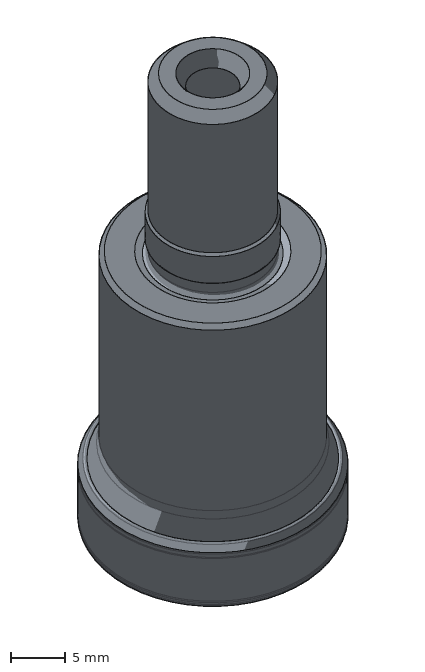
import cadquery as cq
import math

total_height = 55.0
barrel_top = 33.05
barrel_bottom = 10.35
flank_top = 9.5
flank_bottom = 7.5
collar_top = 38.15
collar_bottom = 34.4

stud_radius = 12.0 / 2
collar_radius = 12.5 / 2
barrel_radius = 21.0 / 2
flank_top_radius = 10.7
head_radius = 11.6

stud_chamfer = 1.0
collar_chamfer = collar_radius - stud_radius
barrel_chamfer_width = 0.5
barrel_chamfer_height = 0.45

undercut_fillet = 0.5
undercut_depth = 0.3
undercut_radius = 7.2

hole_radius = 5.0 / 2
hole_mouth_radius = 3.4
hole_mouth_half_angle = 30
hole_depth = 5.5
drill_point_half_angle = 59

ring_height = 7.6
ring_radius = 24.95 / 2
ring_wall_radius = ring_radius - 0.03
ring_lip_radius = 23.6 / 2
ring_cone_radius = 12.0
ring_cone_top = flank_bottom
ring_shoulder = 6.9
bead_edge = 0.15
upper_bead_bottom = 6.15
lower_bead_top = 0.9
base_round = 0.5


def revolve(profile):
    """Turn a half profile, drawn as radius and height, about the Z axis."""
    return profile.close().revolve(360, (0, 0, 0), (0, 1, 0))


def centre_hole():
    """Conical mouth, straight hole and drill point, as one cutting body."""
    mouth_depth = (hole_mouth_radius - hole_radius) / math.tan(math.radians(hole_mouth_half_angle))
    point_depth = hole_radius / math.tan(math.radians(drill_point_half_angle))
    profile = (
        cq.Workplane("XZ")
        .moveTo(0, total_height)
        .lineTo(hole_mouth_radius, total_height)
        .lineTo(hole_radius, total_height - mouth_depth)
        .lineTo(hole_radius, total_height - hole_depth)
        .lineTo(0, total_height - hole_depth - point_depth)
    )
    return revolve(profile)


def make_pin():
    """Stud, collar, undercut, barrel, conical flank and head in one turned body."""
    undercut_floor = barrel_top - undercut_depth
    profile = (
        cq.Workplane("XZ")
        .moveTo(0, 0)
        .lineTo(head_radius, 0)
        .lineTo(head_radius, flank_bottom)
        .lineTo(flank_top_radius, flank_top)
        .tangentArcPoint((barrel_radius, barrel_bottom), relative=False)
        .lineTo(barrel_radius, barrel_top - barrel_chamfer_height)
        .lineTo(barrel_radius - barrel_chamfer_width, barrel_top)
        .lineTo(undercut_radius, barrel_top)
        .lineTo(stud_radius + undercut_fillet, undercut_floor)
        .radiusArc((stud_radius, undercut_floor + undercut_fillet), undercut_fillet)
        .lineTo(stud_radius, collar_bottom)
        .lineTo(collar_radius, collar_bottom + collar_chamfer)
        .lineTo(collar_radius, collar_top - collar_chamfer)
        .lineTo(stud_radius, collar_top)
        .lineTo(stud_radius, total_height - stud_chamfer)
        .lineTo(stud_radius - stud_chamfer, total_height)
        .lineTo(0, total_height)
    )
    return revolve(profile).cut(centre_hole())


def make_ring():
    """Ring fitted round the head, with a narrow raised bead near each end."""
    bead_step = ring_radius - ring_wall_radius
    profile = (
        cq.Workplane("XZ")
        .moveTo(head_radius, 0)
        .lineTo(ring_radius - base_round, 0)
        .radiusArc((ring_radius, base_round), -base_round)
        .lineTo(ring_radius, lower_bead_top - bead_edge)
        .lineTo(ring_wall_radius, lower_bead_top)
        .lineTo(ring_wall_radius, upper_bead_bottom)
        .lineTo(ring_radius, upper_bead_bottom + bead_edge)
        .lineTo(ring_radius, ring_shoulder - bead_edge)
        .lineTo(ring_radius - bead_step, ring_shoulder)
        .lineTo(ring_cone_radius, ring_cone_top)
        .threePointArc((ring_lip_radius, ring_height), (head_radius, flank_bottom))
    )
    return revolve(profile)


pin = make_pin()
ring = make_ring()

result = cq.Compound.makeCompound([pin.val(), ring.val()])